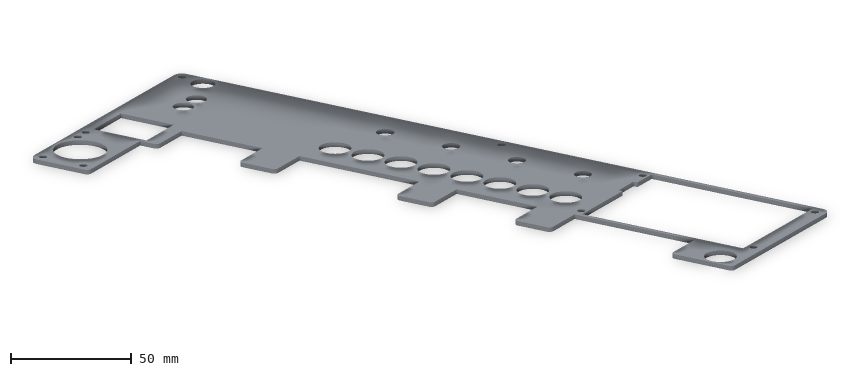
import cadquery as cq

length = 316.0
depth = 119.0
thickness = 2.0
corner_radius = 3.8
tab_radius = 2.0

foot_width = 28.8
tab_depth = 78.0
notch_depth = 59.0
first_notch_x = 37.3
narrow_notch = 39.2
wide_notch = 58.0
tab_width = 18.0
notch_widths = [narrow_notch, wide_notch, narrow_notch, wide_notch]

screw_diameter = 3.5
screw_inset = 4.0
middle_screw_x = 159.0
foot_screw_x = 23.7
foot_upper_screw_depths = [81.0, 87.2]
display_screw_xs = [227.8, 311.3]
display_screw_depths = [4.7, 53.7]

display_left = 230.5
display_right = 308.5
display_top = 2.0
display_bottom = 57.2
relief_left = 228.5
relief_top = 13.3
relief_bottom = 25.0

window_left = 5.0
window_right = 30.5
window_top = 54.5
window_bottom = 76.0

row_center_x = 158.0
button_diameter = 13.5
button_count = 8
button_row_length = 112.0
button_depth = 43.3
button_pitch = button_row_length / (button_count - 1)
knob_diameter = 7.5
knob_count = 4
knob_depth = 16.5
knob_pitch = 2 * button_pitch

corner_hole_diameter = 10.5
corner_hole = (15.5, 6.3)
pair_diameter = 9.0
pair_x = 22.8
pair_depths = [23.5, 33.8]
foot_hole_diameter = 22.5
foot_hole = (13.0, 100.0)
end_hole_diameter = 13.5
end_hole = (305.3, 70.0)


def drill(body, diameter, places):
    """Cut through holes at (x, depth) places."""
    points = [(x, -down) for x, down in places]
    holes = cq.Workplane("XY").pushPoints(points).circle(diameter / 2).extrude(thickness)
    return body.cut(holes)


def block(left, right, top, bottom):
    """Make a full-thickness block between two x positions and two depths."""
    corner = cq.Workplane("XY").moveTo(left, -top)
    return corner.lineTo(right, -top).lineTo(right, -bottom).lineTo(left, -bottom).close().extrude(thickness)


def round_corner(body, x, down, radius):
    """Fillet the upright edge at one outline corner."""
    low = (x - radius, -down - radius, -thickness)
    high = (x + radius, -down + radius, 2 * thickness)
    return body.edges("|Z").edges(cq.selectors.BoxSelector(low, high)).fillet(radius)


def row(count, pitch, down):
    """List the places of an evenly spaced row centred on row_center_x."""
    start = row_center_x - pitch * (count - 1) / 2
    return [(start + i * pitch, down) for i in range(count)]


result = block(0, length, 0, tab_depth).union(block(0, foot_width, 0, depth))
notch_x = first_notch_x
tab_corners = [length]
for notch_width in notch_widths:
    notch_end = notch_x + notch_width
    result = result.cut(block(notch_x, notch_end, notch_depth, tab_depth))
    tab_corners += [notch_x, notch_end]
    notch_x = notch_end + tab_width

for x, down in [(0, 0), (length, 0), (0, depth)]:
    result = round_corner(result, x, down, corner_radius)
for x in tab_corners:
    result = round_corner(result, x, tab_depth, tab_radius)
result = round_corner(result, foot_width, depth, tab_radius)

result = result.cut(block(display_left, display_right, display_top, display_bottom))
result = result.cut(block(relief_left, display_left, relief_top, relief_bottom))
result = result.cut(block(window_left, window_right, window_top, window_bottom))

screws = [(screw_inset, screw_inset), (middle_screw_x, screw_inset)]
screws += [(screw_inset, down) for down in foot_upper_screw_depths]
screws += [(x, depth - screw_inset) for x in (screw_inset, foot_screw_x)]
screws += [(x, down) for x in display_screw_xs for down in display_screw_depths]
result = drill(result, screw_diameter, screws)

result = drill(result, button_diameter, row(button_count, button_pitch, button_depth))
result = drill(result, knob_diameter, row(knob_count, knob_pitch, knob_depth))
result = drill(result, pair_diameter, [(pair_x, down) for down in pair_depths])
result = drill(result, corner_hole_diameter, [corner_hole])
result = drill(result, foot_hole_diameter, [foot_hole])
result = drill(result, end_hole_diameter, [end_hole])